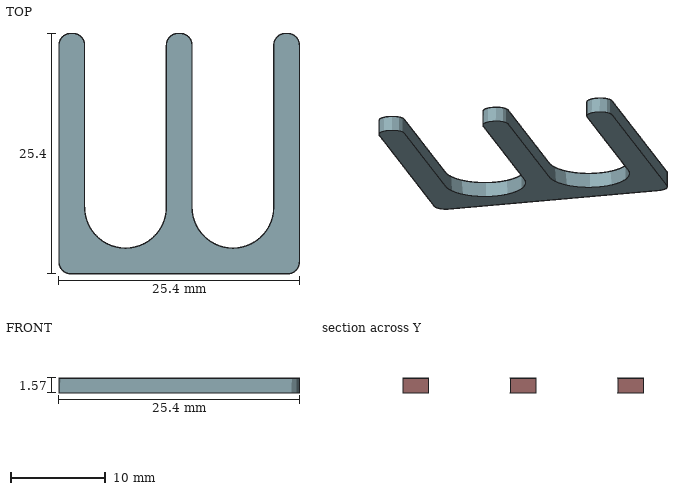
import cadquery as cq

side = 25.4
thickness = 1.57
corner_radius = 1.27

slot_width = 8.6
slot_count = 2
finger_width = (side - slot_count * slot_width) / (slot_count + 1)
slot_pitch = slot_width + finger_width
web_height = finger_width


def make_plate():
    return cq.Workplane("XY").rect(side, side).extrude(thickness)


def make_slot(center_x):
    """Cutter for one slot: straight walls ending in a full half-round bottom."""
    radius = slot_width / 2
    bottom_y = -side / 2 + web_height
    arc_start_y = bottom_y + radius
    return (
        cq.Workplane("XY")
        .moveTo(center_x - radius, side / 2)
        .lineTo(center_x - radius, arc_start_y)
        .threePointArc((center_x, bottom_y), (center_x + radius, arc_start_y))
        .lineTo(center_x + radius, side / 2)
        .close()
        .extrude(thickness)
    )


plate = make_plate()
for index in range(slot_count):
    slot_x = (index - (slot_count - 1) / 2) * slot_pitch
    plate = plate.cut(make_slot(slot_x))

base_corners = plate.edges("|Z and <Y")
fingertip_corners = plate.edges("|Z and >Y")
result = base_corners.add(fingertip_corners).fillet(corner_radius)